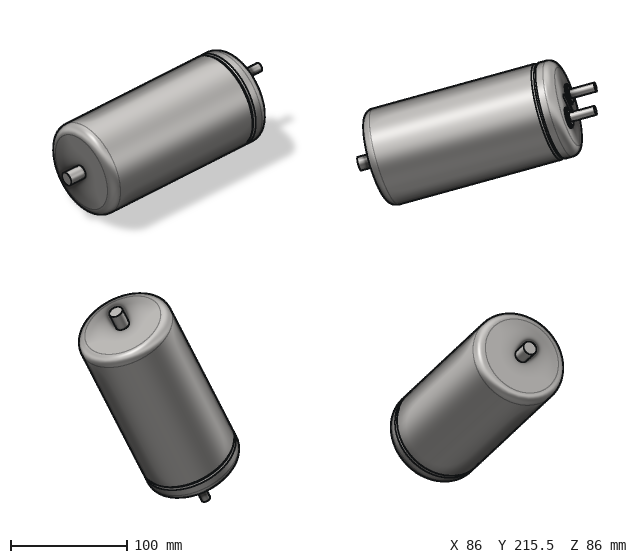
import cadquery as cq

total_length = 215.5
can_diameter = 86.0

edge_radius = 8.0
groove_width = 3.9
groove_depth = 1.3
groove_setback = 16.4

stud_diameter = 12.3
stud_length = 16.2

terminal_diameter = 8.2
terminal_projection = 25.0
terminal_spacing = 32.0
flange_diameter = 18.3
flange_height = 1.3
collar_diameter = 15.3
collar_height = 2.4

bar_length = 25.6
bar_thickness = 2.2
bar_height = 2.0

can_radius = can_diameter / 2

stud_tip_y = -total_length / 2
stud_face_y = stud_tip_y + stud_length
terminal_face_y = total_length / 2 - terminal_projection
groove_y = terminal_face_y - groove_setback


def rod(diameter, start_y, length, z=0.0):
    """Cylinder along +Y from start_y at height z."""
    base = cq.Vector(0, start_y, z)
    return cq.Workplane(cq.Solid.makeCylinder(diameter / 2, length, base, cq.Vector(0, 1, 0)))


def can():
    """Cylinder with rounded ends and a V-shaped crimp groove near the terminal end."""
    body = rod(can_diameter, stud_face_y, terminal_face_y - stud_face_y).edges().fillet(edge_radius)
    groove = (
        cq.Workplane("XY")
        .moveTo(can_radius, groove_y - groove_width / 2)
        .lineTo(can_radius - groove_depth, groove_y)
        .lineTo(can_radius, groove_y + groove_width / 2)
        .close()
        .revolve(360, (0, 0, 0), (0, 1, 0))
    )
    return body.cut(groove)


def terminal(z):
    """Terminal pin standing on a stepped collar."""
    flange = rod(flange_diameter, terminal_face_y, flange_height, z)
    collar = rod(collar_diameter, terminal_face_y, collar_height, z)
    pin = rod(terminal_diameter, terminal_face_y, terminal_projection, z)
    return flange.union(collar).union(pin)


def bar():
    """Narrow raised bar across the centre of the terminal end."""
    return (
        cq.Workplane("XY")
        .box(bar_length, bar_height, bar_thickness, centered=(True, False, True))
        .translate((0, terminal_face_y, 0))
    )


result = can().union(rod(stud_diameter, stud_tip_y, stud_length)).union(bar())
for side in (-1, 1):
    result = result.union(terminal(side * terminal_spacing / 2))